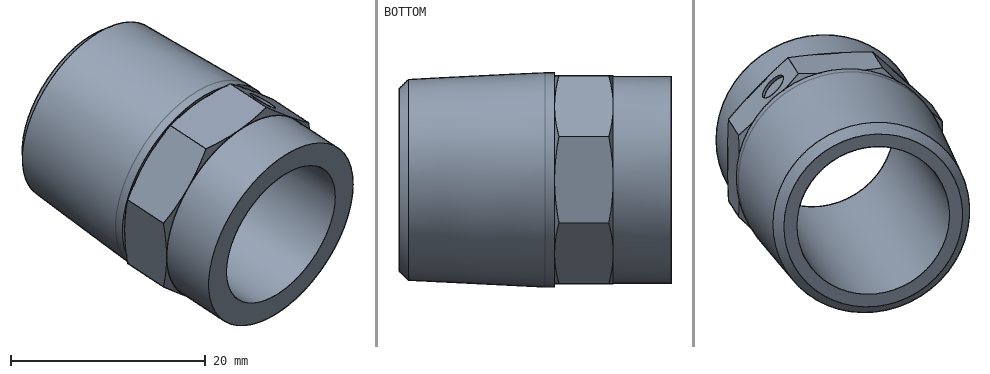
import cadquery as cq
import math

length = 28.0
end_chamfer = 0.95
taper_end = 15.0
collar_end = 16.0
octagon_end = 22.0

bore_diameter = 16.02
taper_small_diameter = 20.65
collar_diameter = 22.05
sleeve_diameter = 21.3
across_flats = 21.4
corner_chamfer_angle = 27.0

recess_diameter = 3.0
recess_depth = 0.3
recess_offset = 1.43
recess_tilt = 45.0


def revolve_about_x(points):
    """Revolve a closed (x, radius) outline about the X axis."""
    return cq.Workplane("XY").polyline(points).close().revolve(360, (0, 0, 0), (1, 0, 0))


def make_tapered_end():
    small_radius = taper_small_diameter / 2
    collar_radius = collar_diameter / 2
    return revolve_about_x([
        (0, 0),
        (0, small_radius - end_chamfer),
        (end_chamfer, small_radius),
        (taper_end, collar_radius),
        (collar_end, collar_radius),
        (collar_end, 0),
    ])


def make_octagon():
    """Octagon with flats on Y and Z and conically chamfered corners."""
    flat_radius = across_flats / 2
    half_side_angle = 180 / 8
    corner_radius = flat_radius / math.cos(math.radians(half_side_angle))
    chamfer_length = (corner_radius - flat_radius) * math.tan(math.radians(corner_chamfer_angle))
    prism = (
        cq.Workplane("YZ", origin=(collar_end, 0, 0))
        .transformed(rotate=(0, 0, half_side_angle))
        .polygon(8, 2 * corner_radius)
        .extrude(octagon_end - collar_end)
    )
    envelope = revolve_about_x([
        (collar_end, 0),
        (collar_end, flat_radius),
        (collar_end + chamfer_length, corner_radius),
        (octagon_end - chamfer_length, corner_radius),
        (octagon_end, flat_radius),
        (octagon_end, 0),
    ])
    return prism.intersect(envelope)


def make_sleeve():
    return (
        cq.Workplane("YZ", origin=(octagon_end, 0, 0))
        .circle(sleeve_diameter / 2)
        .extrude(length - octagon_end)
    )


def make_recess():
    """Cylinder standing on a +Z flat, then turned toward +Y."""
    recess_x = (collar_end + octagon_end) / 2
    return (
        cq.Workplane("XY", origin=(recess_x, -recess_offset, across_flats / 2 - recess_depth))
        .circle(recess_diameter / 2)
        .extrude(2 * recess_depth)
        .rotate((0, 0, 0), (1, 0, 0), -recess_tilt)
    )


bore = cq.Workplane("YZ").circle(bore_diameter / 2).extrude(length)

result = make_tapered_end().union(make_octagon()).union(make_sleeve()).cut(bore).cut(make_recess())